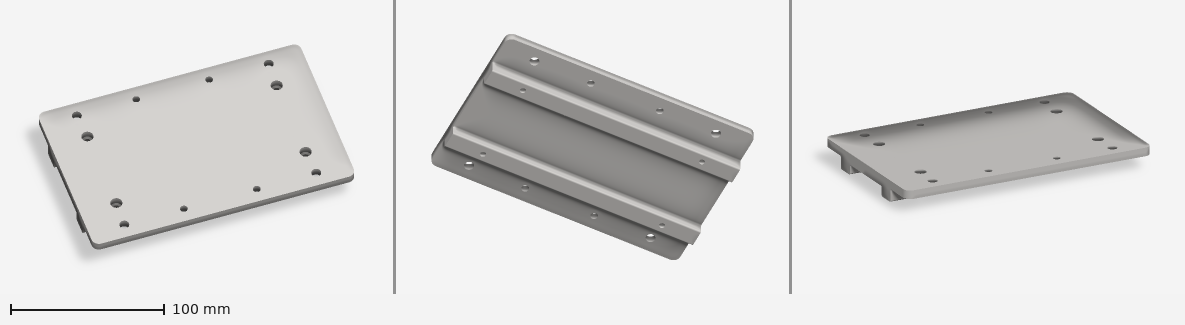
import cadquery as cq

length = 180.0
width = 115.0
plate_thickness = 6.0
corner_radius = 5.0

total_height = 15.0
rail_outer_x = 34.7
rail_width = 12.5
rail_inner_x = rail_outer_x - rail_width
channel_ceiling_depth = 8.0
rail_edge_radius = 1.0

large_hole_diameter = 6.5
large_hole_x = 47.5
large_hole_y = 65.9
small_hole_diameter = 5.0
small_hole_x = 47.7
small_hole_y = 25.0
screw_hole_diameter = 4.0
screw_head_diameter = 8.0
screw_head_depth = 5.0
screw_x = 29.0
screw_y = 65.0


def make_plate():
    """Rounded plate with its top face at Z = 0."""
    plate = cq.Workplane("XY").box(width, length, plate_thickness, centered=(True, True, False))
    return plate.edges("|Z").fillet(corner_radius).translate((0, 0, -plate_thickness))


def make_rails():
    """Central band with a channel below it, leaving a rail on each side."""
    band = cq.Workplane("XY").box(2 * rail_outer_x, length, total_height, centered=(True, True, False))
    band = band.translate((0, 0, -total_height))
    channel_height = total_height - channel_ceiling_depth
    channel = cq.Workplane("XY").box(2 * rail_inner_x, length, channel_height, centered=(True, True, False))
    return band.cut(channel.translate((0, 0, -total_height)))


def round_rail_edges(body):
    """Round the rail feet, the channel corners and the rail roots."""
    half_plate = width / 2
    below_top = cq.selectors.BoxSelector(
        (-half_plate + corner_radius, -length, -2 * total_height),
        (half_plate - corner_radius, length, -plate_thickness / 2),
    )
    return body.edges("|Y").edges(below_top).fillet(rail_edge_radius)


def hole_group(x, y, diameter, depth):
    """Four mirrored vertical cylinders reaching down from the top face."""
    points = [(sx * x, sy * y) for sx in (-1, 1) for sy in (-1, 1)]
    return cq.Workplane("XY").pushPoints(points).circle(diameter / 2).extrude(-depth)


result = round_rail_edges(make_plate().union(make_rails()))
result = result.cut(hole_group(large_hole_x, large_hole_y, large_hole_diameter, total_height))
result = result.cut(hole_group(small_hole_x, small_hole_y, small_hole_diameter, total_height))
result = result.cut(hole_group(screw_x, screw_y, screw_hole_diameter, total_height))
result = result.cut(hole_group(screw_x, screw_y, screw_head_diameter, screw_head_depth))